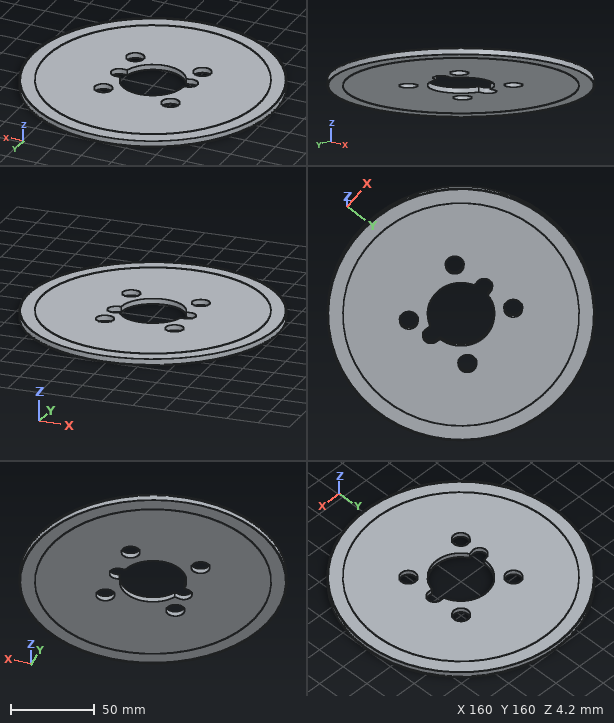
import cadquery as cq
import math

rim_outer_diameter = 160.0
rim_inner_diameter = 141.3
rim_thickness = 4.2

disc_diameter = 158.7
disc_thickness = 3.5
disc_bottom = (rim_thickness - disc_thickness) / 2

bore_diameter = 40.0
bolt_hole_diameter = 11.0
bolt_circle_diameter = 62.9
bolt_hole_count = 4
first_bolt_hole_angle = 45
notch_width = 10.0
notch_center_radius = 22.4
notch_angles = (0, 195)


def disc_cylinder(diameter):
    """Cylinder on the Z axis that spans the thickness of the inner disc."""
    base = cq.Workplane("XY").workplane(offset=disc_bottom)
    return base.circle(diameter / 2).extrude(disc_thickness)


def notch_cutter(angle):
    """Radial slot from the bore axis outward, with round ends."""
    base = cq.Workplane("XY").workplane(offset=disc_bottom)
    slot = base.center(notch_center_radius / 2, 0).slot2D(notch_center_radius + notch_width, notch_width)
    return slot.extrude(disc_thickness).rotate((0, 0, 0), (0, 0, 1), angle)


def bolt_hole_cutter(angle):
    """Round hole on the bolt circle."""
    radius = bolt_circle_diameter / 2
    x = radius * math.cos(math.radians(angle))
    y = radius * math.sin(math.radians(angle))
    return disc_cylinder(bolt_hole_diameter).translate((x, y, 0))


def make_disc():
    """Inner disc with the notched bore and the bolt holes."""
    body = disc_cylinder(disc_diameter).cut(disc_cylinder(bore_diameter))
    for angle in notch_angles:
        body = body.cut(notch_cutter(angle))
    for index in range(bolt_hole_count):
        angle = first_bolt_hole_angle + index * 360 / bolt_hole_count
        body = body.cut(bolt_hole_cutter(angle))
    return body


def make_rim():
    """Ring with an inward channel that holds the edge of the inner disc."""
    ring = cq.Workplane("XY").circle(rim_outer_diameter / 2).circle(rim_inner_diameter / 2)
    ring = ring.extrude(rim_thickness)
    return ring.cut(disc_cylinder(disc_diameter))


disc = make_disc()
rim = make_rim()

result = cq.Compound.makeCompound([disc.solids().val(), rim.solids().val()])